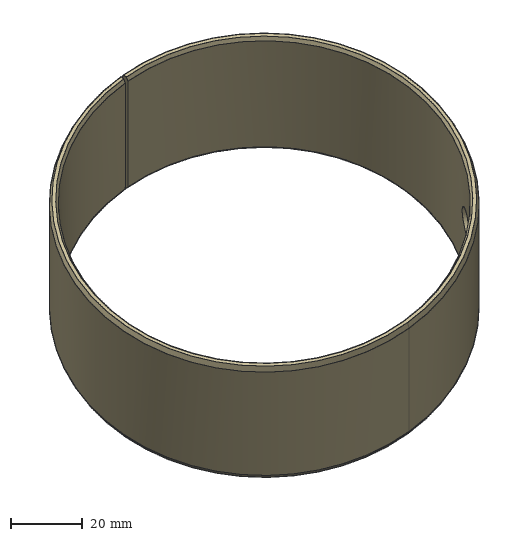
import cadquery as cq
import math

outer_diameter = 120.0
height = 50.0
wall = 2.5
outer_radius = outer_diameter / 2
inner_radius = outer_radius - wall

outer_chamfer_width = 0.7
outer_chamfer_height = 1.8
inner_chamfer_width = 0.7
inner_chamfer_height = 1.2

split_gap = 1.0

hole_diameter = 10.0
hole_angle = 58.7


def chamfered_ring():
    """Revolve the wall section, chamfered at all four corners, about Z."""
    half_height = height / 2
    inner_edge = half_height - inner_chamfer_height
    outer_edge = half_height - outer_chamfer_height
    inner_rim = inner_radius + inner_chamfer_width
    outer_rim = outer_radius - outer_chamfer_width
    section = (
        cq.Workplane("XZ")
        .moveTo(inner_radius, -inner_edge)
        .lineTo(inner_radius, inner_edge)
        .lineTo(inner_rim, half_height)
        .lineTo(outer_rim, half_height)
        .lineTo(outer_radius, outer_edge)
        .lineTo(outer_radius, -outer_edge)
        .lineTo(outer_rim, -half_height)
        .lineTo(inner_rim, -half_height)
        .close()
    )
    return section.revolve(360, (0, 0, 0), (0, 1, 0))


def split_cutter():
    """Thin block that opens the ring along its -X side."""
    block = cq.Workplane("XY").box(4 * wall, split_gap, 2 * height)
    return block.translate((-outer_radius, split_gap / 2, 0))


def hole_cutter():
    """Radial cylinder through one side of the wall."""
    angle = math.radians(hole_angle)
    outward = cq.Vector(math.cos(angle), math.sin(angle), 0)
    start = outward * (inner_radius - wall)
    return cq.Workplane(cq.Solid.makeCylinder(hole_diameter / 2, 3 * wall, start, outward))


result = chamfered_ring().cut(split_cutter()).cut(hole_cutter())